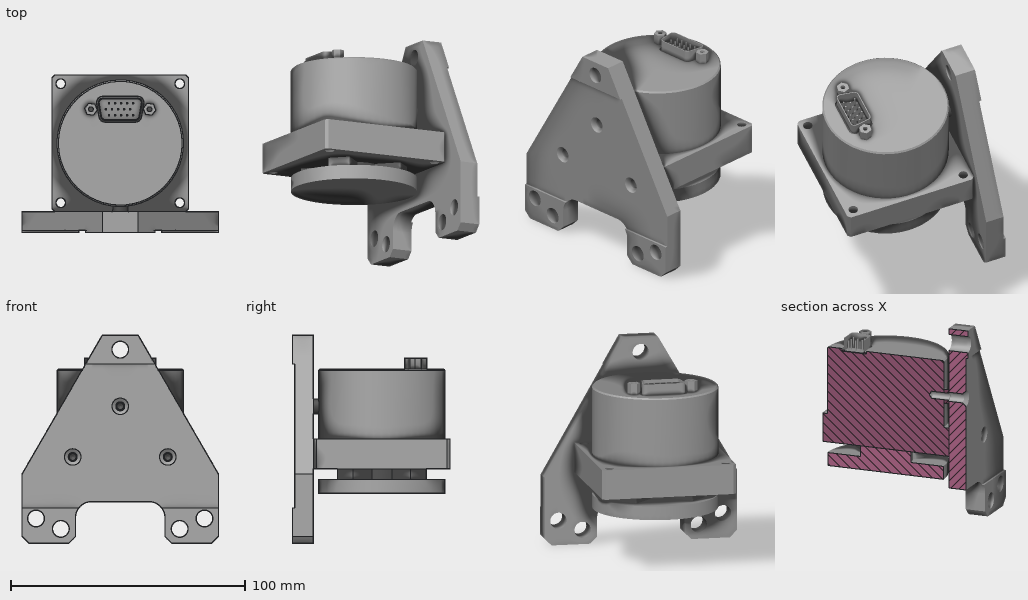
import cadquery as cq
import math


flange_side = 58.3
flange_bottom = 31.8
flange_top = 44.6
flange_corner_chamfer = 1.25
flange_hole_spacing = 50.8
flange_hole_diameter = 4.0
can_diameter = 54.0
can_top = 74.4
can_edge_chamfer = 0.6

plate_back = -flange_side / 2
plate_thickness = 9.0
relief_depth = 1.0
plate_height = 88.9
plate_half_width = 83.8 / 2
plate_top_half_width = 7.65
shoulder_height = 29.6
top_pad_bottom = 76.45
foot_pad_top = 15.2
slot_half_width = 19.0
slot_top = 17.8
slot_radius = 6.7
foot_chamfer = 3.0
mount_hole_diameter = 7.0
top_mount_hole_z = 82.7
foot_hole_places = [(35.9, 10.7), (25.3, 6.2)]
plate_front = plate_back - plate_thickness
relief_face = plate_front + relief_depth

upper_screw_z = 58.5
lower_screw_z = 36.9
lower_screw_x = 20.3
screw_hole_diameter = 3.8
countersink_diameter = 7.0
countersink_angle = 90
tapped_diameter = 2.9
tapped_depth = 8.0
drill_point_angle = 118
screw_places = [(0, upper_screw_z), (-lower_screw_x, lower_screw_z), (lower_screw_x, lower_screw_z)]

spacer_diameter = 6.4

disc_bottom = 21.3
disc_top = 27.3
disc_diameter = 53.8
hub_diameter = 23.5
cross_length = 44.3
cross_width = 9.4
cross_angle = 45

connector_y = 14.5
connector_top = 79.0
recess_depth = 1.2
recess_clearance = 0.8
shell_mid_half_width = 8.9
shell_height = 9.5
shell_corner_radius = 2.0
shell_side_angle = 10
shell_wall = 0.4
shell_floor_depth = 1.0
foot_flare = 0.7
pin_diameter = 0.6
pin_pitch = 2.6
pin_row_spacing = 2.6
pin_top = 78.0
pins_per_row = 5
outer_row_start = -4.8
middle_row_start = outer_row_start - pin_pitch / 2

post_spacing = 25.0
post_flats = 4.7
post_angle = -8
post_hole_diameter = 2.05
post_hole_depth = 3.6


def cylinder_along_y(x, z, diameter, y_start, length):
    """Cylinder that starts at y_start and runs toward +Y."""
    return cq.Workplane(cq.Solid.makeCylinder(
        diameter / 2, length, cq.Vector(x, y_start, z), cq.Vector(0, 1, 0)))


def tapped_hole(x, z):
    """Blind hole with a conical bottom, drilled toward +Y from the back of the bracket."""
    radius = tapped_diameter / 2
    point_length = radius / math.tan(math.radians(drill_point_angle / 2))
    point = cq.Solid.makeCone(
        radius, 0, point_length, cq.Vector(x, plate_back + tapped_depth, z), cq.Vector(0, 1, 0))
    return cylinder_along_y(x, z, tapped_diameter, plate_back, tapped_depth).union(point)


def countersunk_hole(x, z):
    """Screw hole through the bracket, countersunk on the relieved front face."""
    sink_radius = countersink_diameter / 2
    hole_radius = screw_hole_diameter / 2
    sink_depth = (sink_radius - hole_radius) / math.tan(math.radians(countersink_angle / 2))
    sink = cq.Solid.makeCone(
        sink_radius, hole_radius, sink_depth, cq.Vector(x, relief_face, z), cq.Vector(0, 1, 0))
    return cylinder_along_y(x, z, screw_hole_diameter, plate_front, plate_thickness).union(sink)


def connector_outline(z, offset=0.0):
    """Rounded D outline of the connector, wider on the +Y side, grown outward by offset."""
    half_height = shell_height / 2
    lean = half_height * math.tan(math.radians(shell_side_angle))
    wide = shell_mid_half_width + lean
    narrow = shell_mid_half_width - lean
    corners = [(-wide, half_height), (wide, half_height), (narrow, -half_height), (-narrow, -half_height)]
    return (
        cq.Workplane("XY", origin=(0, connector_y, z))
        .polyline(corners)
        .close()
        .offset2D(-shell_corner_radius)
        .offset2D(shell_corner_radius + offset)
    )


def make_bracket():
    right_side = [
        (plate_top_half_width, plate_height),
        (plate_half_width, shoulder_height),
        (plate_half_width, foot_chamfer),
        (plate_half_width - foot_chamfer, 0),
        (slot_half_width + foot_chamfer, 0),
        (slot_half_width, foot_chamfer),
        (slot_half_width, slot_top),
    ]
    left_side = [(-x, z) for x, z in reversed(right_side)]
    plate = (
        cq.Workplane("XZ", origin=(0, plate_back, 0))
        .polyline(right_side + left_side)
        .close()
        .extrude(plate_thickness)
    )
    plate_middle = (plate_front + plate_back) / 2
    for x in (-slot_half_width, slot_half_width):
        slot_corner = cq.selectors.NearestToPointSelector((x, plate_middle, slot_top))
        plate = plate.edges(slot_corner).fillet(slot_radius)

    relief = cq.Workplane("XY").box(
        2 * plate_half_width, relief_depth, top_pad_bottom - foot_pad_top, centered=(True, False, False)
    ).translate((0, plate_front, foot_pad_top))
    plate = plate.cut(relief)

    mount_places = [(0, top_mount_hole_z)]
    for x, z in foot_hole_places:
        mount_places += [(-x, z), (x, z)]
    for x, z in mount_places:
        plate = plate.cut(cylinder_along_y(x, z, mount_hole_diameter, plate_front, plate_thickness))
    for x, z in screw_places:
        plate = plate.cut(countersunk_hole(x, z))
    return plate


def hex_post(x):
    """Hexagonal post standing on the can, with a blind hole in its top."""
    height = connector_top - can_top
    across_corners = post_flats / math.cos(math.pi / 6)
    return (
        cq.Workplane("XY")
        .polygon(6, across_corners)
        .extrude(height)
        .faces(">Z")
        .workplane()
        .hole(post_hole_diameter, post_hole_depth)
        .rotate((0, 0, 0), (0, 0, 1), post_angle)
        .translate((x, connector_y, can_top))
    )


def can_cylinder():
    return (
        cq.Workplane("XY", origin=(0, 0, flange_top))
        .circle(can_diameter / 2)
        .extrude(can_top - flange_top)
    )


def make_can():
    can = can_cylinder().faces(">Z").chamfer(can_edge_chamfer)
    recess = connector_outline(can_top - recess_depth, recess_clearance).extrude(recess_depth)
    for x in (-post_spacing / 2, post_spacing / 2):
        can = can.union(hex_post(x))
    return can.cut(recess)


def make_housing():
    flange = (
        cq.Workplane("XY", origin=(0, 0, flange_bottom))
        .rect(flange_side, flange_side)
        .extrude(flange_top - flange_bottom)
        .edges("|Z")
        .chamfer(flange_corner_chamfer)
        .faces(">Z")
        .workplane()
        .rect(flange_hole_spacing, flange_hole_spacing, forConstruction=True)
        .vertices()
        .hole(flange_hole_diameter)
    )
    housing = flange.union(make_can())
    for x, z in screw_places:
        housing = housing.cut(tapped_hole(x, z))
    return housing


def make_spacer():
    """Round spacer, hollowed at one end to sit on the round can."""
    spacer = cylinder_along_y(0, upper_screw_z, spacer_diameter, plate_back, -plate_back)
    return spacer.cut(can_cylinder()).cut(tapped_hole(0, upper_screw_z))


def make_rotor():
    disc = (
        cq.Workplane("XY", origin=(0, 0, disc_bottom))
        .circle(disc_diameter / 2)
        .extrude(disc_top - disc_bottom)
    )
    gap = flange_bottom - disc_top
    hub = cq.Workplane("XY", origin=(0, 0, disc_top)).circle(hub_diameter / 2).extrude(gap)
    bars = (
        cq.Workplane("XY", origin=(0, 0, disc_top))
        .rect(cross_length, cross_width)
        .extrude(gap)
        .union(cq.Workplane("XY", origin=(0, 0, disc_top)).rect(cross_width, cross_length).extrude(gap))
    )
    return disc.union(hub).union(bars).rotate((0, 0, 0), (0, 0, 1), cross_angle)


def make_connector():
    recess_floor = can_top - recess_depth
    shell_floor = can_top - shell_floor_depth
    shell = connector_outline(recess_floor).extrude(connector_top - recess_floor)
    flare = connector_outline(recess_floor, foot_flare).extrude(foot_flare, taper=45)
    cavity = connector_outline(shell_floor, -shell_wall).extrude(connector_top - shell_floor)
    connector = shell.union(flare).cut(cavity)

    rows = [
        (outer_row_start, pin_row_spacing),
        (middle_row_start, 0),
        (outer_row_start, -pin_row_spacing),
    ]
    pin_places = [(start + i * pin_pitch, y) for start, y in rows for i in range(pins_per_row)]
    pins = (
        cq.Workplane("XY", origin=(0, connector_y, shell_floor))
        .pushPoints(pin_places)
        .circle(pin_diameter / 2)
        .extrude(pin_top - shell_floor)
    )
    return connector.union(pins)


bracket = make_bracket()
housing = make_housing()
spacer = make_spacer()
rotor = make_rotor()
connector = make_connector()

result = cq.Compound.makeCompound([
    bracket.val(),
    housing.val(),
    spacer.val(),
    rotor.val(),
    connector.val(),
])